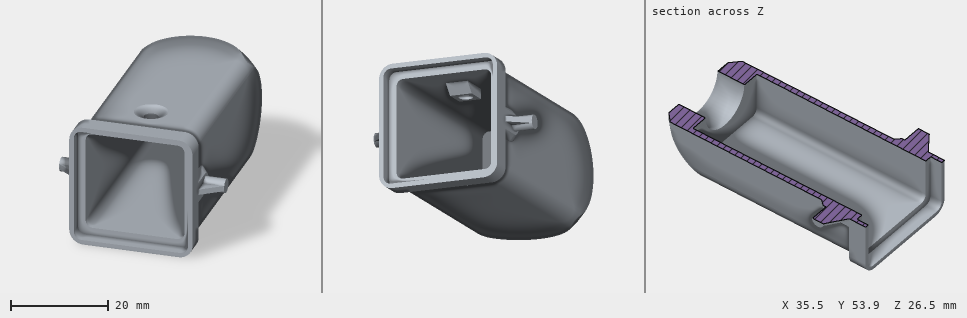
import cadquery as cq
import math

length = 53.9
pin_span = 35.5
collar_width = 26.5
collar_length = 4.25
corner_radius = 3.0
body_width = 24.15

dome_radius = 16.15
dome_center_y = length - 12.75

mouth_width = 24.5
mouth_corner = 1.6
mouth_depth = 2.9
cavity_width = 21.25
cavity_corner = 1.45
end_wall = 7.0
cable_hole_diameter = 13.0

screw_y = 14.0
screw_diameter = 3.0
countersink_diameter = 7.1
countersink_depth = 1.15

boss_width = 4.85
boss_drop = 2.15

pin_diameter = 3.0
pin_y = 8.9
pad_base_width = 7.1
pad_bevel = 1.35
web_thickness = 1.2

overlap = 0.55


def square_bar(width, radius, start, end):
    """Square bar along Y with rounded long edges."""
    bar = cq.Workplane("XY").box(width, end - start, width)
    return bar.edges("|Y").fillet(radius).translate((0, (start + end) / 2, 0))


def make_shell():
    dome = cq.Workplane("XY").sphere(dome_radius).translate((0, dome_center_y, 0))
    straight = square_bar(collar_width, corner_radius, 0, dome_center_y)
    body = square_bar(body_width, corner_radius, 0, length).intersect(straight.union(dome))
    return body.union(square_bar(collar_width, corner_radius, 0, collar_length))


def make_cavity():
    mouth = square_bar(mouth_width, mouth_corner, 0, mouth_depth)
    cavity = square_bar(cavity_width, cavity_corner, 0, length - end_wall)
    cable_hole = cq.Workplane("XZ").circle(cable_hole_diameter / 2).extrude(-length)
    return mouth.union(cavity).union(cable_hole)


def make_boss():
    ceiling = cavity_width / 2
    bottom = ceiling - boss_drop
    flat_start = screw_y - boss_width / 2
    flat_end = screw_y + boss_width / 2
    outline = [
        (flat_start - boss_drop, ceiling),
        (flat_start, bottom),
        (flat_end, bottom),
        (flat_end, ceiling + overlap),
        (flat_start - boss_drop, ceiling + overlap),
    ]
    return cq.Workplane("YZ").polyline(outline).close().extrude(boss_width / 2, both=True)


def make_screw_hole():
    top = body_width / 2
    bottom = cavity_width / 2 - boss_drop - overlap
    profile = [
        (0, bottom),
        (screw_diameter / 2, bottom),
        (screw_diameter / 2, top - countersink_depth),
        (countersink_diameter / 2, top),
        (0, top),
    ]
    hole = cq.Workplane("XZ").polyline(profile).close().revolve(360, (0, 0), (0, 1))
    return hole.translate((0, screw_y, 0))


def make_latch():
    """Pad, pin and web on the +X side."""
    wall = body_width / 2
    pad_top = collar_width / 2
    pad_height = pad_top - wall
    base_radius = pad_base_width / 2
    top_radius = base_radius - pad_bevel

    cone = cq.Solid.makeCone(
        base_radius, top_radius, pad_height, cq.Vector(wall, pin_y, 0), cq.Vector(1, 0, 0)
    )
    section = [(wall, -base_radius), (pad_top, -top_radius), (pad_top, top_radius), (wall, base_radius)]
    bar_start = collar_length - overlap
    bar = cq.Workplane("XZ", origin=(0, bar_start, 0)).polyline(section).close()
    bar = bar.extrude(bar_start - pin_y)
    root = cq.Workplane("YZ", origin=(wall - overlap, 0, 0)).center(pin_y, 0)
    pin = root.circle(pin_diameter / 2).extrude(pin_span / 2 - wall + overlap)

    tip = pin_span / 2
    web_outline = [
        (pad_top - overlap, collar_length),
        (pad_top, collar_length),
        (tip, pin_y - math.sqrt(pin_diameter**2 - web_thickness**2) / 2),
        (tip, pin_y),
        (pad_top - overlap, pin_y),
    ]
    web = cq.Workplane("XY").polyline(web_outline).close().extrude(web_thickness / 2, both=True)
    return bar.union(cq.Workplane(cone)).union(pin).union(web)


latch = make_latch()
result = make_shell().union(latch).union(latch.mirror("YZ"))
result = result.cut(make_cavity()).union(make_boss()).cut(make_screw_hole())